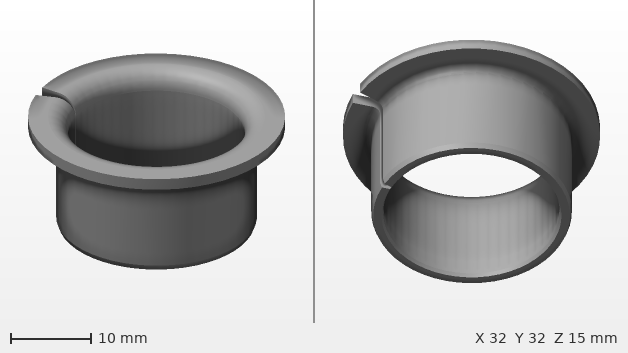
import cadquery as cq
import math

bore_radius = 11.0
wall = 1.5
flange_radius = 16.0
height = 15.0
outer_fillet_radius = 1.0

outer_chamfer_height = 0.7
outer_chamfer_angle = 20.0
inner_chamfer_height = 0.5
inner_chamfer_width = 0.2

split_angle = 20.0
split_bore_gap = 0.3

sleeve_radius = bore_radius + wall
bend_center_radius = sleeve_radius + outer_fillet_radius
bend_center_z = height - wall - outer_fillet_radius
outer_chamfer_width = outer_chamfer_height * math.tan(math.radians(outer_chamfer_angle))


def bend_midpoint(radius):
    """Point halfway round the sleeve-to-flange bend, for an arc of the given radius."""
    offset = radius * math.sqrt(0.5)
    return (bend_center_radius - offset, bend_center_z + offset)


def make_flanged_sleeve():
    """Sleeve of constant wall thickness, bent outward into the flange; its seam lies in the split."""
    inner_bend_radius = outer_fillet_radius + wall
    return (
        cq.Workplane("XZ")
        .moveTo(bore_radius + inner_chamfer_width, 0)
        .lineTo(sleeve_radius - outer_chamfer_width, 0)
        .lineTo(sleeve_radius, outer_chamfer_height)
        .lineTo(sleeve_radius, bend_center_z)
        .threePointArc(bend_midpoint(outer_fillet_radius), (bend_center_radius, height - wall))
        .lineTo(flange_radius, height - wall)
        .lineTo(flange_radius, height)
        .lineTo(bend_center_radius, height)
        .threePointArc(bend_midpoint(inner_bend_radius), (bore_radius, bend_center_z))
        .lineTo(bore_radius, inner_chamfer_height)
        .close()
        .revolve(360, (0, 0, 0), (0, 1, 0))
        .rotate((0, 0, 0), (0, 0, 1), 180)
    )


def make_split_wedge():
    """Full-height wedge that opens outward along -X."""
    slope = math.tan(math.radians(split_angle / 2))
    apex_x = -bore_radius + split_bore_gap / 2 / slope
    outer_x = -flange_radius - wall
    outer_half_gap = (apex_x - outer_x) * slope
    return (
        cq.Workplane("XY")
        .polyline([(apex_x, 0), (outer_x, outer_half_gap), (outer_x, -outer_half_gap)])
        .close()
        .extrude(height)
    )


result = make_flanged_sleeve().cut(make_split_wedge())